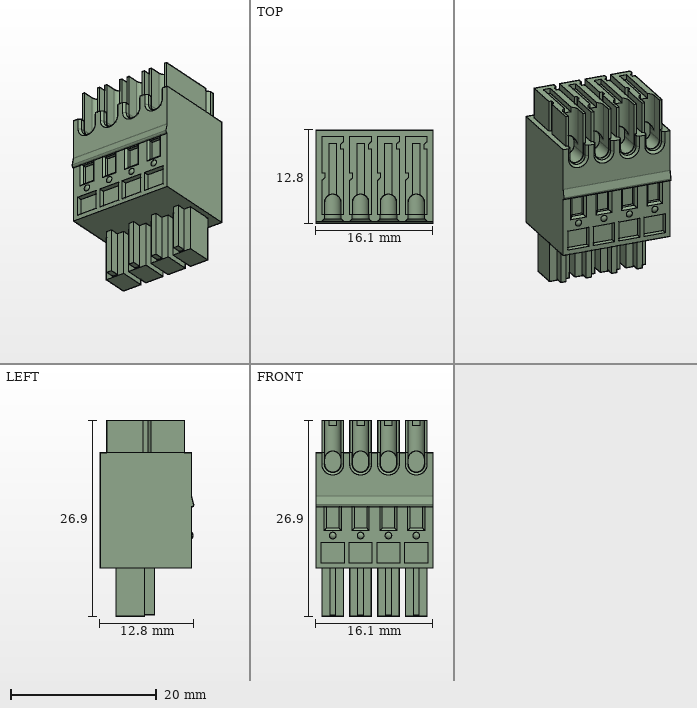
import cadquery as cq
import math


POLE_COUNT = 4
POLE_PITCH = 3.82
POLE_WIDTH = 2.99

HOUSING_WIDTH = 16.09
HOUSING_DEPTH = 12.54
HOUSING_BOTTOM = 6.62
HOUSING_TOP = 22.45
PART_TOP = 26.9

BEVEL_ANGLE = 45

COLUMN_FRONT = 0.95
COLUMN_BACK = 11.65
KEY_DEPTH = 0.4
KEY_FLAT = 0.65
KEY_LENGTH = KEY_FLAT + KEY_DEPTH
RIGHT_KEY_Y = 9.93
LEFT_KEY_Y = 6.65

CHANNEL_RADIUS = 1.1
CHANNEL_AXIS_Y = 2.64
TUNNEL_LOW_Z = 20.9
TUNNEL_HIGH_Z = 21.57
TUNNEL_DEPTH = 4.04
MOUTH_RADIUS = 1.15
MOUTH_FLARE = 0.35

SLOT_WIDTH = 1.02
SLOT_DEPTH = 0.73
SLOT_BACK = 10.68

RIDGE_TOP = 16.52
RIDGE_BOTTOM = 15.0
RIDGE_REACH = 0.38
RIDGE_ROUNDING = 0.27

WINDOW_WIDTH = 2.37
WINDOW_BOTTOM = 11.78
WINDOW_BEVEL = 0.32
WINDOW_DEPTH = 0.8

DOME_DIAMETER = 1.2
DOME_BASE_RADIUS = 0.45
DOME_Z = 11.08

LABEL_WIDTH = 3.17
LABEL_BOTTOM = 7.32
LABEL_HEIGHT = 2.82
LABEL_DEPTH = 0.8

PIN_BACK = 10.38
PIN_FRONT = 6.43
RIB_FRONT = 5.08
RIB_WIDTH = 0.8
RIB_BOTTOM = 0.2


def box(width, y_range, z_range, x=0):
    """Box centred on x between the given y and z limits."""
    size_y = y_range[1] - y_range[0]
    size_z = z_range[1] - z_range[0]
    block = cq.Workplane("XY").box(width, size_y, size_z, centered=(True, False, False))
    return block.translate((x, y_range[0], z_range[0]))


def housing():
    """Plain rectangular housing block."""
    return box(HOUSING_WIDTH, (0, HOUSING_DEPTH), (HOUSING_BOTTOM, HOUSING_TOP))


def ridge():
    """Full-width latch ridge: a long ramp above, a rounded nose below."""
    wedge = (
        cq.Workplane("YZ")
        .polyline([(0, RIDGE_TOP), (-RIDGE_REACH, RIDGE_BOTTOM), (0, RIDGE_BOTTOM)])
        .close()
        .extrude(HOUSING_WIDTH / 2, both=True)
    )
    return wedge.edges("<Y").fillet(RIDGE_ROUNDING)


def column(x):
    """Upright column with one bevelled key groove on each side."""
    half = POLE_WIDTH / 2
    inner = half - KEY_DEPTH
    outline = [
        (-half, COLUMN_FRONT),
        (half, COLUMN_FRONT),
        (half, RIGHT_KEY_Y),
        (inner, RIGHT_KEY_Y),
        (inner, RIGHT_KEY_Y + KEY_FLAT),
        (half, RIGHT_KEY_Y + KEY_LENGTH),
        (half, COLUMN_BACK),
        (-half, COLUMN_BACK),
        (-half, LEFT_KEY_Y),
        (-inner, LEFT_KEY_Y),
        (-inner, LEFT_KEY_Y - KEY_FLAT),
        (-half, LEFT_KEY_Y - KEY_LENGTH),
    ]
    base = cq.Workplane("XY", origin=(x, 0, HOUSING_TOP))
    return base.polyline(outline).close().extrude(PART_TOP - HOUSING_TOP)


def pin(x):
    """Contact pin with a slightly shorter rib on its front."""
    body = box(POLE_WIDTH, (PIN_FRONT, PIN_BACK), (0, HOUSING_BOTTOM), x)
    rib = box(RIB_WIDTH, (RIB_FRONT, PIN_FRONT), (RIB_BOTTOM, HOUSING_BOTTOM), x)
    return body.union(rib)


def dome(x):
    """Spherical cap standing on the housing front."""
    radius = DOME_DIAMETER / 2
    center_y = math.sqrt(radius**2 - DOME_BASE_RADIUS**2)
    return cq.Workplane("XY").sphere(radius).translate((x, center_y, DOME_Z))


def mouth_outline(radius, y):
    """Closed U outline at depth y, round at the bottom and open to the top of the part."""
    return (
        cq.Workplane("XZ", origin=(0, y, 0))
        .moveTo(-radius, PART_TOP)
        .lineTo(-radius, TUNNEL_LOW_Z)
        .threePointArc((0, TUNNEL_LOW_Z - radius), (radius, TUNNEL_LOW_Z))
        .lineTo(radius, PART_TOP)
        .close()
    )


def wire_entry(x):
    """Round-backed upright channel, blind tunnel at its foot and flared mouth in the housing."""
    channel = (
        cq.Workplane("XY", origin=(0, 0, TUNNEL_LOW_Z))
        .moveTo(-CHANNEL_RADIUS, 0)
        .lineTo(-CHANNEL_RADIUS, CHANNEL_AXIS_Y)
        .threePointArc((0, CHANNEL_AXIS_Y + CHANNEL_RADIUS), (CHANNEL_RADIUS, CHANNEL_AXIS_Y))
        .lineTo(CHANNEL_RADIUS, 0)
        .close()
        .extrude(PART_TOP - TUNNEL_LOW_Z)
    )
    tunnel_height = TUNNEL_HIGH_Z - TUNNEL_LOW_Z + 2 * CHANNEL_RADIUS
    tunnel = (
        cq.Workplane("XZ", origin=(0, 0, (TUNNEL_LOW_Z + TUNNEL_HIGH_Z) / 2))
        .slot2D(tunnel_height, 2 * CHANNEL_RADIUS, 90)
        .extrude(-TUNNEL_DEPTH)
    )
    mouth = mouth_outline(MOUTH_RADIUS, 0).extrude(-COLUMN_FRONT)
    flare = mouth_outline(MOUTH_RADIUS, MOUTH_FLARE).extrude(MOUTH_FLARE, taper=-BEVEL_ANGLE)
    return channel.union(tunnel).union(mouth).union(flare).translate((x, 0, 0))


def column_slot(x):
    """Narrow slot running back from the wire channel."""
    return box(SLOT_WIDTH, (CHANNEL_AXIS_Y, SLOT_BACK), (PART_TOP - SLOT_DEPTH, PART_TOP), x)


def window(x):
    """Window with a bevelled rim, its upper rim hidden behind the ridge."""
    inner_width = WINDOW_WIDTH - 2 * WINDOW_BEVEL
    inner_bottom = WINDOW_BOTTOM + WINDOW_BEVEL
    inner_height = RIDGE_BOTTOM - inner_bottom
    pocket = box(inner_width, (0, WINDOW_DEPTH), (inner_bottom, RIDGE_BOTTOM), x)
    rim = (
        cq.Workplane("XZ", origin=(x, WINDOW_BEVEL, (inner_bottom + RIDGE_BOTTOM) / 2))
        .rect(inner_width, inner_height)
        .workplane(offset=WINDOW_BEVEL)
        .rect(WINDOW_WIDTH, inner_height + 2 * WINDOW_BEVEL)
        .loft(ruled=True)
    )
    return pocket.union(rim)


def label_recess(x):
    """Shallow rectangular recess near the bottom of the housing front."""
    return box(LABEL_WIDTH, (0, LABEL_DEPTH), (LABEL_BOTTOM, LABEL_BOTTOM + LABEL_HEIGHT), x)


pole_positions = [POLE_PITCH * (i - (POLE_COUNT - 1) / 2) for i in range(POLE_COUNT)]

result = housing()
for pole_x in pole_positions:
    result = result.union(column(pole_x)).union(pin(pole_x))

for pole_x in pole_positions:
    for cutter in (wire_entry, column_slot, window, label_recess):
        result = result.cut(cutter(pole_x))

result = result.union(ridge())
for pole_x in pole_positions:
    result = result.union(dome(pole_x))